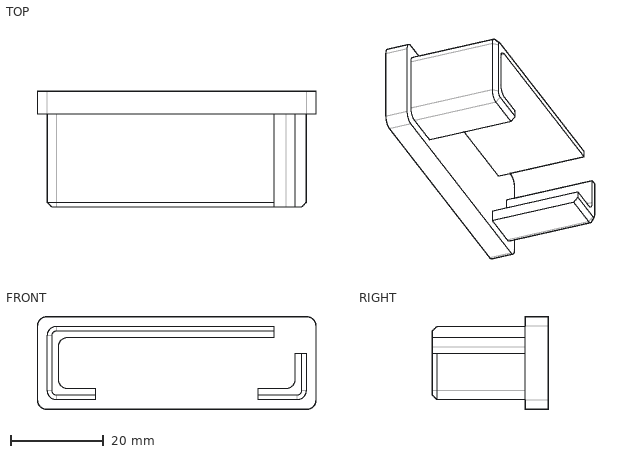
import cadquery as cq

plate_length = 60.0
plate_height = 20.0
plate_thickness = 5.0
plate_corner_radius = 2.0

wall_margin = 2.1
wall_thickness = 2.4
wall_depth = 20.0
wall_outer_radius = 2.0
wall_inner_radius = 2.0
tip_chamfer = 1.0

bottom_gap_width = 35.0
top_wall_end_x = 21.0
right_wall_end_z = 2.1

wall_length = plate_length - 2 * wall_margin
wall_height = plate_height - 2 * wall_margin
cavity_length = wall_length - 2 * wall_thickness
cavity_height = wall_height - 2 * wall_thickness


def rounded_block(length, height, y_start, y_end, radius):
    """Block centred on the Y axis, with its four edges along Y rounded."""
    depth = y_end - y_start
    return (
        cq.Workplane("XY")
        .box(length, depth, height)
        .translate((0, y_start + depth / 2, 0))
        .edges("|Y")
        .fillet(radius)
    )


def wall_cutter(x_start, x_end, z_start, z_end):
    """Rectangular block over the full wall depth, given by its X and Z limits."""
    return (
        cq.Workplane("XY")
        .box(x_end - x_start, wall_depth, z_end - z_start, centered=False)
        .translate((x_start, -wall_depth, z_start))
    )


def wall_ring():
    """Closed rectangular wall with a lead-in chamfer around its outer tip."""
    outer = rounded_block(wall_length, wall_height, -wall_depth, 0, wall_outer_radius)
    outer = outer.faces("<Y").chamfer(tip_chamfer)
    cavity = rounded_block(cavity_length, cavity_height, -wall_depth, 0, wall_inner_radius)
    return outer.cut(cavity)


def plug_wall():
    """Wall ring opened at the middle of the bottom and at the top right corner."""
    bottom_gap = wall_cutter(
        -bottom_gap_width / 2, bottom_gap_width / 2, -plate_height / 2, 0
    )
    corner_gap = wall_cutter(
        top_wall_end_x, plate_length / 2, right_wall_end_z, plate_height / 2
    )
    return wall_ring().cut(bottom_gap).cut(corner_gap)


plate = rounded_block(plate_length, plate_height, 0, plate_thickness, plate_corner_radius)

result = plate.union(plug_wall())